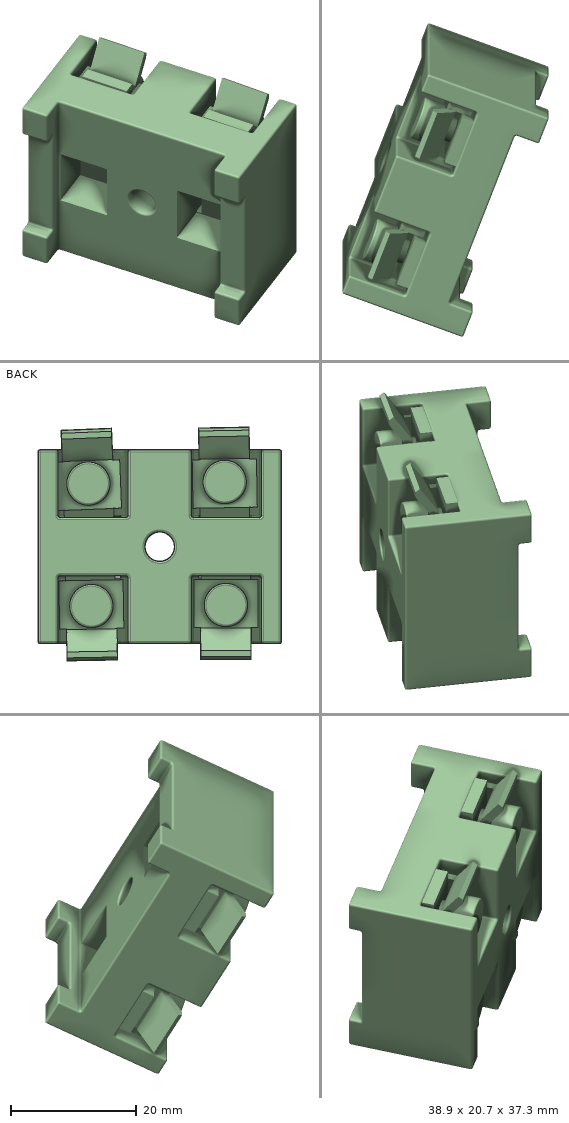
import cadquery as cq
import math

width = 38.85
depth = 20.65
height = 30.97
edge_radius = 0.35
front_y = -depth / 2
back_y = depth / 2

channel_width = 29.75
channel_depth = 4.05
foot_height = 5.5
foot_projection = 2.15

pocket_offset = 10.65
pocket_width = 11.2
pocket_depth = 9.6
rib_height = 9.33
pocket_floor_y = back_y - pocket_depth

bar_width = 7.93
bar_thickness = 1.95
bar_bottom = -15.35

hole_diameter = 4.65
window_bottom = -4.97
window_outer_x = channel_width / 2 - edge_radius
window_back_y = 3.42

shank_diameter = 3.92
head_diameter = 6.9
head_top_y = 8.8
head_fillet = 0.27
plate_width = 8.1
plate_thickness = 1.4
plate_front_y = 3.85
plate_length = 8.25
flap_angle = 34.0
flap_length = 5.5
flap_back_limit_y = 7.65

ear_thickness = 1.1
ear_front_y = 1.25
ear_top_drop = 0.5


def box(x_range, y_range, z_range):
    """Axis-aligned box between the given limits."""
    size = [b - a for a, b in (x_range, y_range, z_range)]
    corner = (x_range[0], y_range[0], z_range[0])
    return cq.Workplane("XY").box(*size, centered=False).translate(corner)


def centred(middle, length):
    """Limits of a length placed symmetrically about a middle."""
    return (middle - length / 2, middle + length / 2)


def tilt(shape, x, z, angle):
    """Turn a shape clockwise, as seen from the front, about a line along Y."""
    return shape.rotate((x, 0, z), (x, 1, z), angle)


def housing():
    body = box(centred(0, width), centred(0, depth), centred(0, height))
    channel_y = (front_y, front_y + channel_depth)
    body = body.cut(box(centred(0, channel_width), channel_y, centred(0, height)))
    relief_y = (front_y, front_y + foot_projection)
    body = body.cut(box(centred(0, width), relief_y, centred(0, height - 2 * foot_height)))
    for x in (-pocket_offset, pocket_offset):
        for z_range in ((rib_height / 2, height / 2), (-height / 2, -rib_height / 2)):
            body = body.cut(box(centred(x, pocket_width), (pocket_floor_y, back_y), z_range))
    hole = cq.Workplane("XZ").circle(hole_diameter / 2).extrude(depth, both=True)
    return body.cut(hole).edges().fillet(edge_radius)


def window(inner_x, top_z):
    """Front opening and rib passage as one cut; inner_x carries the sign of its side."""
    x_range = sorted((inner_x, math.copysign(window_outer_x, inner_x)))
    front = box(x_range, (front_y, pocket_floor_y), (window_bottom, top_z))
    passage_y = (pocket_floor_y, window_back_y)
    return front.union(box(x_range, passage_y, centred(0, rib_height + 2 * edge_radius)))


def contact_bar(x, top_z, angle):
    """Flat bar lying on the pocket floor and running through the rib."""
    bar_y = (pocket_floor_y, pocket_floor_y + bar_thickness)
    return tilt(box(centred(x, bar_width), bar_y, (bar_bottom, top_z)), x, 0, angle)


def clamp(x, bend_z, end, angle):
    """Screw and bent plate with ears.

    end is 1 at the top of the housing and -1 at the bottom; bend_z is the height of
    the bend measured from mid-height towards that end.
    """
    slope = math.radians(flap_angle)
    run_y = flap_length * math.sin(slope)
    run_z = flap_length * math.cos(slope)
    offset_y = plate_thickness * math.cos(slope)
    offset_z = plate_thickness * math.sin(slope)
    plate_back_y = plate_front_y + plate_thickness
    inner_bend_z = bend_z - plate_thickness * math.tan(slope / 2)
    plate = (
        cq.Workplane("YZ")
        .moveTo(plate_front_y, bend_z)
        .lineTo(plate_front_y + run_y, bend_z + run_z)
        .lineTo(plate_front_y + run_y + offset_y, bend_z + run_z - offset_z)
        .lineTo(plate_back_y, inner_bend_z)
        .lineTo(plate_back_y, bend_z - plate_length)
        .lineTo(plate_front_y, bend_z - plate_length)
        .close()
        .extrude(plate_width / 2, both=True)
    )
    flap_top_z = bend_z + run_z
    foot_z = bend_z - plate_length
    keep_y = (plate_front_y, flap_back_limit_y)
    plate = plate.intersect(box(centred(0, plate_width), keep_y, (foot_z, flap_top_z)))
    for side in (-1, 1):
        ear_x = side * (plate_width + ear_thickness) / 2
        ear_z = (foot_z, bend_z - ear_top_drop)
        ear = box(centred(ear_x, ear_thickness), (ear_front_y, plate_back_y), ear_z)
        plate = plate.union(ear)
    screw_z = bend_z - plate_length / 2
    shank_length = plate_front_y - pocket_floor_y
    base = cq.Workplane("XZ", origin=(0, pocket_floor_y, screw_z))
    shank = base.circle(shank_diameter / 2).extrude(-shank_length)
    top = cq.Workplane("XZ", origin=(0, head_top_y, screw_z))
    head = top.circle(head_diameter / 2).extrude(head_top_y - plate_back_y)
    head = head.faces(">Y").fillet(head_fillet)
    unit = plate.union(shank).union(head)
    if end < 0:
        unit = unit.mirror("XY")
    return tilt(unit, 0, end * screw_z, angle).translate((x, 0, 0))


result = housing()
result = result.cut(window(inner_x=-6.25, top_z=4.62))
result = result.cut(window(inner_x=6.25, top_z=4.85))

result = result.union(contact_bar(x=-10.45, top_z=15.7, angle=0.9))
result = result.union(clamp(x=-10.38, bend_z=14.45, end=1, angle=1.0))
result = result.union(clamp(x=-10.57, bend_z=13.45, end=-1, angle=0.0))

result = result.union(contact_bar(x=11.2, top_z=15.4, angle=1.1))
result = result.union(clamp(x=11.4, bend_z=14.2, end=1, angle=2.3))
result = result.union(clamp(x=10.92, bend_z=13.6, end=-1, angle=1.0))